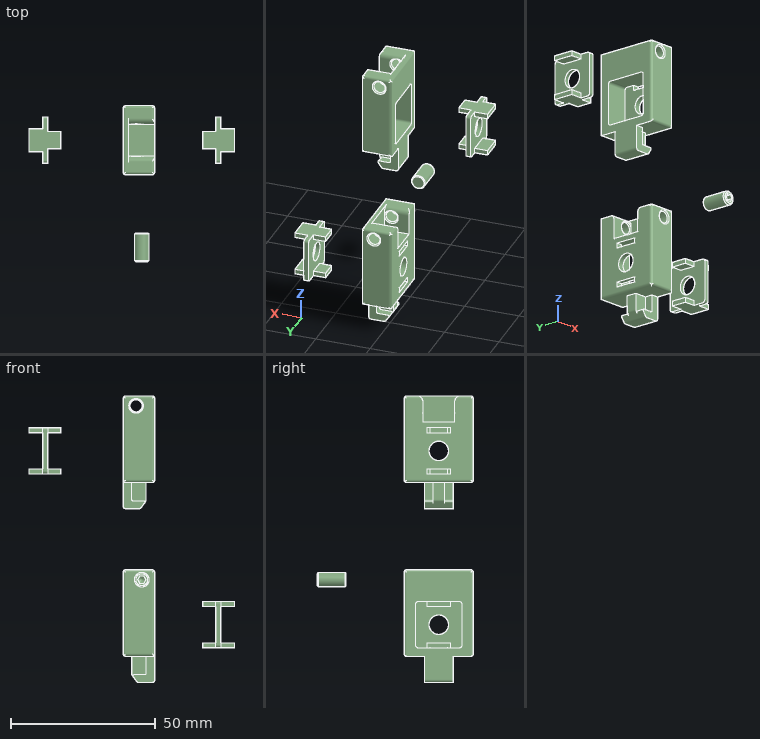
import cadquery as cq
import math

body_depth = 11.0
body_width = 24.0
body_height = 30.0
edge_radius = 1.0

notch_width = 11.0
notch_height = 9.0
notch_wall = 2.0
notch_lip_radius = 2.0

pocket_size = 16.0
pocket_depth = 8.6
pocket_radius = 1.0
pocket_center_z = 11.0
bolt_hole_diameter = 6.6
tab_thickness = 1.8
wide_tab_width = 8.0

screw_diameter = 5.0
thread_core_diameter = 4.2
screw_offset_x = -1.0
screw_drop = 3.5

hook_width = 10.0
hook_length = 8.0
hook_height = 9.0
rib_width = 4.0
hook_back = 3.0
lip_height = 2.8
lip_slope_length = 2.0
hook_radius = 1.0
mouth_radius = 0.5

clip_length = 11.0
plate_thickness = 1.8
wide_tab_length = 4.8
narrow_tab_width = 6.0

screw_length = 10.0
socket_chamfer = 0.5
tip_chamfer = 0.3
socket_flats = 2.5
socket_depth = 2.5
drill_point_angle = 120.0

housing_spacing = 60.0
clip_spacing = 60.0
lower_clip_x = 27.5
screw_y = -37.0

half_depth = body_depth / 2
half_width = body_width / 2
screw_z = body_height - screw_drop
hook_slope_x = hook_length - lip_slope_length
hook_top_z = hook_height + edge_radius
tab_offset_z = (pocket_size - tab_thickness) / 2


def make_rounded_body():
    """Block whose rounded edges meet in mitres; the bottom -X edge, flush with the hook, stays sharp."""
    plain_block = cq.Workplane("XY").box(
        body_depth, body_width, body_height, centered=(True, True, False)
    )
    flush_edge = cq.selectors.NearestToPointSelector((-half_depth, 0, 0))
    edges_along_y = cq.selectors.StringSyntaxSelector("|Y")
    rounded_along_x = plain_block.edges("|X").fillet(edge_radius)
    rounded_along_y = plain_block.edges(edges_along_y - flush_edge).fillet(edge_radius)
    rounded_along_z = plain_block.edges("|Z").fillet(edge_radius)
    return rounded_along_x.intersect(rounded_along_y).intersect(rounded_along_z)


def make_notch():
    """Cutter for the top notch, flared outwards at the top by a rounded lip on each side."""
    half_notch = notch_width / 2
    floor_z = body_height - notch_height
    flare_z = body_height - notch_lip_radius
    flare_y = half_notch + notch_lip_radius
    arc_y = flare_y - notch_lip_radius * math.sqrt(0.5)
    arc_z = flare_z + notch_lip_radius * math.sqrt(0.5)
    return (
        cq.Workplane("YZ", origin=(-half_depth + notch_wall, 0, 0))
        .moveTo(-half_notch, floor_z)
        .lineTo(half_notch, floor_z)
        .lineTo(half_notch, flare_z)
        .threePointArc((arc_y, arc_z), (flare_y, body_height))
        .lineTo(-flare_y, body_height)
        .threePointArc((-arc_y, arc_z), (-half_notch, flare_z))
        .close()
        .extrude(body_depth)
    )


def make_pocket():
    """Cutter for the -X pocket, the bolt hole and the two tab slots."""
    face = cq.Workplane("YZ", origin=(-half_depth, 0, pocket_center_z))
    pocket = face.rect(pocket_size, pocket_size).extrude(pocket_depth).edges("|X").fillet(pocket_radius)
    bolt_hole = face.circle(bolt_hole_diameter / 2).extrude(body_depth)
    slots = (
        face.pushPoints([(0, -tab_offset_z), (0, tab_offset_z)])
        .rect(wide_tab_width, tab_thickness)
        .extrude(body_depth)
    )
    return pocket.union(bolt_hole).union(slots)


def make_arm_hole():
    """Cutter for the screw hole through the +Y arm, countersunk at both ends."""
    core_radius = thread_core_diameter / 2
    mouth = screw_diameter / 2
    sink = mouth - core_radius
    inner_y = notch_width / 2
    return (
        cq.Workplane("XY")
        .polyline([
            (0, inner_y), (mouth, inner_y), (core_radius, inner_y + sink),
            (core_radius, half_width - sink), (mouth, half_width), (0, half_width),
        ])
        .close()
        .revolve(360, (0, 0, 0), (0, 1, 0))
        .translate((screw_offset_x, 0, screw_z))
    )


def make_rib_layer():
    """Full-depth middle layer of the hook."""
    return (
        cq.Workplane("XZ")
        .polyline([
            (0, 0), (hook_slope_x, 0), (hook_length, lip_height),
            (hook_length, hook_top_z), (0, hook_top_z),
        ])
        .close()
        .extrude(rib_width / 2, both=True)
        .edges("|Y and (not >Z)")
        .fillet(hook_radius)
    )


def make_mouth_layer():
    """L-shaped layer of the hook, as wide as the whole hook."""
    corner = cq.selectors.NearestToPointSelector((hook_back, 0, lip_height))
    lip = cq.selectors.NearestToPointSelector((hook_length, 0, lip_height))
    return (
        cq.Workplane("XZ")
        .polyline([
            (0, 0), (hook_slope_x, 0), (hook_length, lip_height),
            (hook_back, lip_height), (hook_back, hook_top_z), (0, hook_top_z),
        ])
        .close()
        .extrude(hook_width / 2, both=True)
        .edges(cq.selectors.SumSelector(corner, lip))
        .fillet(mouth_radius)
        .edges("|Y and <Z")
        .fillet(hook_radius)
    )


def make_hook():
    hook = make_rib_layer().union(make_mouth_layer())
    return hook.translate((-half_depth, 0, -hook_height))


def make_housing():
    """Housing with its pocket on -X and its body standing on Z = 0."""
    arm_hole = make_arm_hole()
    return (
        make_rounded_body()
        .union(make_hook())
        .cut(make_notch())
        .cut(make_pocket())
        .cut(arm_hole)
        .cut(arm_hole.mirror("XZ"))
    )


def make_clip():
    """Clip with its wide tabs on -X, centred on its length and on its bolt hole."""
    plate_x = -clip_length / 2 + wide_tab_length
    narrow_tab_length = clip_length - wide_tab_length - plate_thickness
    plate = (
        cq.Workplane("YZ", origin=(plate_x, 0, 0))
        .rect(pocket_size, pocket_size)
        .extrude(plate_thickness)
        .edges("|X")
        .fillet(pocket_radius)
    )
    tab_centers = [(0, -tab_offset_z), (0, tab_offset_z)]
    wide_tabs = (
        cq.Workplane("YZ", origin=(plate_x, 0, 0))
        .pushPoints(tab_centers)
        .rect(wide_tab_width, tab_thickness)
        .extrude(-wide_tab_length)
    )
    narrow_tabs = (
        cq.Workplane("YZ", origin=(plate_x + plate_thickness, 0, 0))
        .pushPoints(tab_centers)
        .rect(narrow_tab_width, tab_thickness)
        .extrude(narrow_tab_length)
    )
    bolt_hole = (
        cq.Workplane("YZ", origin=(plate_x, 0, 0)).circle(bolt_hole_diameter / 2).extrude(plate_thickness)
    )
    return plate.union(wide_tabs).union(narrow_tabs).cut(bolt_hole)


def make_set_screw():
    """Set screw along Y, centred on its length, with a hexagon socket in its -Y end."""
    socket_end = cq.Workplane("XZ", origin=(0, -screw_length / 2, 0))
    shank = (
        socket_end.circle(screw_diameter / 2)
        .extrude(-screw_length)
        .faces("<Y").chamfer(socket_chamfer)
        .faces(">Y").chamfer(tip_chamfer)
    )
    corner_radius = socket_flats / math.sqrt(3)
    point_length = corner_radius / math.tan(math.radians(drill_point_angle / 2))
    pilot = (
        cq.Workplane("XY", origin=(0, -screw_length / 2, 0))
        .polyline([
            (0, 0), (corner_radius, 0), (corner_radius, socket_depth), (0, socket_depth + point_length),
        ])
        .close()
        .revolve(360, (0, 0, 0), (0, 1, 0))
    )
    hexagon = socket_end.polygon(6, 2 * corner_radius).extrude(-screw_length)
    return shank.cut(hexagon.intersect(pilot))


housings = []
clips = []
for turn, clip_x, level in [
    (0, lower_clip_x - clip_spacing, housing_spacing),
    (180, lower_clip_x, 0),
]:
    housing = make_housing().rotate((0, 0, 0), (0, 0, 1), turn)
    housings.append(housing.translate((0, 0, level)))
    clip = make_clip().rotate((0, 0, 0), (0, 0, 1), turn)
    clips.append(clip.translate((clip_x, 0, level + pocket_center_z)))

set_screw = make_set_screw().translate((-screw_offset_x, screw_y, screw_z))

result = cq.Compound.makeCompound([
    *[housing.solids().val() for housing in housings],
    *[clip.solids().val() for clip in clips],
    set_screw.solids().val(),
])